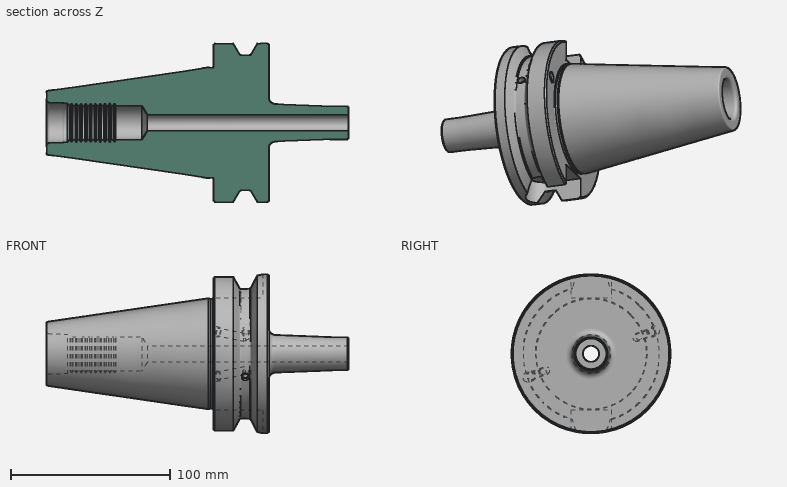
import cadquery as cq
import math


ARC_DIP = 1 - math.sqrt(0.5)

gauge_radius = 69.85 / 2
taper_length = 101.8
taper_ratio = 7 / 24
tail_radius = gauge_radius - taper_length * taper_ratio / 2
tail_fillet = 0.9

neck_radius = 34.6
neck_cone_length = 1.0
neck_fillet = 0.6

flange_radius = 50.0
flange_start = 3.0
flange_end = 38.0
flange_chamfer = 1.0
groove_center = 23.1
groove_radius = 42.7
groove_mouth_width = 15.0
groove_flank_angle = 30.0
groove_corner_fillet = 1.0
groove_flank_run = (flange_radius - groove_radius) * math.tan(math.radians(groove_flank_angle))
groove_floor_width = groove_mouth_width - 2 * groove_flank_run

nose_end = 88.0
nose_tip_radius = 10.5
nose_tip_length = 10.2
nose_root_radius = 11.9
nose_root_fillet = 4.0
nose_chamfer = 0.9

bore_mouth_fillet = 2.2
pilot_radius = 12.5
pilot_depth = 10.0
relief_radius = 12.2
relief_cone_length = 1.0
relief_end = 13.0
drill_radius = 10.6
drill_depth = 60.0
thread_pitch = 3.0
thread_root_radius = 12.0
thread_crest_width = 0.4
thread_turns = 10
thread_flank_angle = 30.0
drill_tip_angle = 118.0
through_radius = 5.0

keyway_width = 25.7
keyway_floor = 35.2
keyway_end = 34.2

coolant_angle = 20.0
coolant_radius = 41.8
coolant_slant = 30.0
coolant_diameter = 5.0
coolant_mouth_diameter = 6.4
coolant_mouth_depth = 3.5
port_diameter = 4.6
port_mouth_depth = 4.0
port_bore_diameter = 4.0


def make_body():
    """Revolved outer shape: taper, neck, grooved flange and nose."""
    tail = -taper_length
    tail_dip = tail_fillet * ARC_DIP
    neck_dip = neck_fillet * ARC_DIP
    groove_left = groove_center - groove_mouth_width / 2
    groove_right = groove_center + groove_mouth_width / 2
    turn = math.radians(90 - groove_flank_angle)
    floor_end = groove_floor_width / 2 - groove_corner_fillet * math.tan(turn / 2)
    corner_middle, flank_foot = [
        (
            floor_end + groove_corner_fillet * math.sin(angle),
            groove_radius + groove_corner_fillet * (1 - math.cos(angle)),
        )
        for angle in (turn / 2, turn)
    ]
    fillet_end = flange_end + nose_root_fillet
    fillet_top = nose_root_radius + nose_root_fillet
    fillet_dip = nose_root_fillet * ARC_DIP
    profile = (
        cq.Workplane("XZ")
        .moveTo(tail, 0)
        .lineTo(tail, tail_radius - tail_fillet)
        .threePointArc(
            (tail + tail_dip, tail_radius - tail_dip),
            (tail + tail_fillet, tail_radius + tail_fillet * taper_ratio / 2),
        )
        .lineTo(0, gauge_radius)
        .lineTo(neck_cone_length, neck_radius)
        .lineTo(flange_start - neck_fillet, neck_radius)
        .threePointArc(
            (flange_start - neck_dip, neck_radius + neck_dip),
            (flange_start, neck_radius + neck_fillet),
        )
        .lineTo(flange_start, flange_radius - flange_chamfer)
        .lineTo(flange_start + flange_chamfer, flange_radius)
        .lineTo(groove_left, flange_radius)
        .lineTo(groove_center - flank_foot[0], flank_foot[1])
        .threePointArc(
            (groove_center - corner_middle[0], corner_middle[1]),
            (groove_center - floor_end, groove_radius),
        )
        .lineTo(groove_center + floor_end, groove_radius)
        .threePointArc(
            (groove_center + corner_middle[0], corner_middle[1]),
            (groove_center + flank_foot[0], flank_foot[1]),
        )
        .lineTo(groove_right, flange_radius)
        .lineTo(flange_end - flange_chamfer, flange_radius)
        .lineTo(flange_end, flange_radius - flange_chamfer)
        .lineTo(flange_end, fillet_top)
        .threePointArc(
            (flange_end + fillet_dip, nose_root_radius + fillet_dip),
            (fillet_end, nose_root_radius),
        )
        .lineTo(nose_end - nose_tip_length, nose_tip_radius)
        .lineTo(nose_end - nose_chamfer, nose_tip_radius)
        .lineTo(nose_end, nose_tip_radius - nose_chamfer)
        .lineTo(nose_end, 0)
        .close()
    )
    return profile.revolve(360, (0, 0, 0), (1, 0, 0))


def make_bore():
    """Rounded mouth, pilot bore, relief, 45 degree shoulder, thread, drill tip and through hole."""
    tail = -taper_length
    mouth_dip = bore_mouth_fillet * ARC_DIP
    thread_start = tail + relief_end + relief_radius - drill_radius
    tip_start = tail + drill_depth
    tip_length = (drill_radius - through_radius) / math.tan(math.radians(drill_tip_angle / 2))
    profile = (
        cq.Workplane("XZ")
        .moveTo(tail, 0)
        .lineTo(tail, pilot_radius + bore_mouth_fillet)
        .threePointArc(
            (tail + mouth_dip, pilot_radius + mouth_dip),
            (tail + bore_mouth_fillet, pilot_radius),
        )
        .lineTo(tail + pilot_depth, pilot_radius)
        .lineTo(tail + pilot_depth + relief_cone_length, relief_radius)
        .lineTo(tail + relief_end, relief_radius)
        .lineTo(thread_start, drill_radius)
    )
    flank_run = (thread_root_radius - drill_radius) * math.tan(math.radians(thread_flank_angle))
    for turn in range(thread_turns):
        ring_start = thread_start + turn * thread_pitch + thread_crest_width
        profile = (
            profile.lineTo(ring_start, drill_radius)
            .lineTo(ring_start + flank_run, thread_root_radius)
            .lineTo(ring_start + 2 * flank_run, drill_radius)
        )
    profile = (
        profile.lineTo(tip_start, drill_radius)
        .lineTo(tip_start + tip_length, through_radius)
        .lineTo(nose_end, through_radius)
        .lineTo(nose_end, 0)
        .close()
    )
    return profile.revolve(360, (0, 0, 0), (1, 0, 0))


def make_keyway():
    """Round-ended slot cutter for the keyway on the +Z side."""
    end_radius = keyway_width / 2
    arc_center = keyway_end - end_radius
    return (
        cq.Workplane("XY", origin=(0, 0, keyway_floor))
        .moveTo(0, -end_radius)
        .lineTo(arc_center, -end_radius)
        .threePointArc((keyway_end, 0), (arc_center, end_radius))
        .lineTo(0, end_radius)
        .close()
        .extrude(flange_radius)
    )


def make_drill(diameter, start, end):
    """Cylinder from one point to another."""
    axis = end - start
    return cq.Workplane(cq.Solid.makeCylinder(diameter / 2, axis.Length, start, axis))


def make_coolant_holes():
    """Slanted stepped hole in the flange face and the stepped port it meets, on the +Y side."""
    slant = math.radians(coolant_slant)
    direction = cq.Vector(math.cos(slant), -math.sin(slant), 0)
    mouth = cq.Vector(flange_start, coolant_radius, 0)
    start = mouth - direction * coolant_mouth_diameter
    step = mouth + direction * coolant_mouth_depth
    meeting = mouth + direction * ((groove_center - flange_start) / math.cos(slant))

    port_start = cq.Vector(groove_center, flange_radius, 0)
    port_step = cq.Vector(groove_center, groove_radius - port_mouth_depth, 0)
    holes = (
        make_drill(coolant_mouth_diameter, start, step)
        .union(make_drill(coolant_diameter, start, meeting))
        .union(make_drill(port_diameter, port_start, port_step))
        .union(make_drill(port_bore_diameter, port_start, meeting))
    )
    return holes.rotate((0, 0, 0), (1, 0, 0), coolant_angle)


result = make_body().cut(make_bore())
for half_turn in (0, 180):
    for cutter in (make_keyway(), make_coolant_holes()):
        result = result.cut(cutter.rotate((0, 0, 0), (1, 0, 0), half_turn))